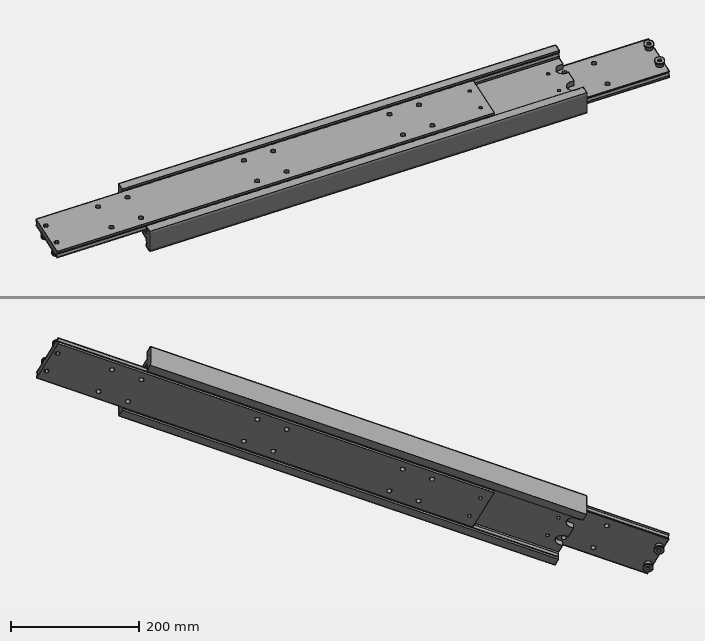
import cadquery as cq

rail_length = 750.0
extension = 150.0
rail_width = 120.0
rail_height = 44.0

bevel_width = 1.0
bevel_height = 4.0

plate_width = 80.0
plate_thickness = 14.0

flange_thickness = 15.0
web_clearance = 3.0
web_thickness = rail_height - 2 * (plate_thickness + web_clearance)

groove_depth = 2.0
groove_half_height = 4.0
groove_from_outer_face = 8.0
groove_height = rail_height / 2 - groove_from_outer_face

mount_diameter = 7.9
mount_x = 25.0
mount_from_end = (100.0, 150.0, 350.0, 400.0)

stop_x = 20.5
stop_from_end = 7.9
stop_height = 10.0
neck_radius = 6.0
rim_radius = 7.9
rim_thickness = 2.6
socket_corner_diameter = 7.9
dimple_radius = 3.0
dimple_depth = 4.0
notch_radius = 10.0
notch_from_end = 6.0
small_hole_diameter = 5.0
plate_small_hole_from_end = 15.0
web_small_hole_from_end = 30.0


def bar(width, height, z_middle):
    """Rectangular bar as long as the rail, centred on X = Y = 0."""
    return cq.Workplane("XY").box(width, rail_length, height).translate((0, 0, z_middle))


def groove(x_face, direction, z):
    """V-shaped cutter along Y, entering a side face at x_face toward direction (+1 or -1)."""
    return (
        cq.Workplane("XZ", origin=(0, rail_length / 2, 0))
        .moveTo(x_face, z - groove_half_height)
        .lineTo(x_face + direction * groove_depth, z)
        .lineTo(x_face, z + groove_half_height)
        .close()
        .extrude(rail_length)
    )


def make_flange(side):
    """Flange on the +X (side = 1) or -X (side = -1) edge, bevelled along its two outer edges."""
    outer_x = rail_width / 2
    inner_x = outer_x - flange_thickness
    top = rail_height / 2
    outline = [
        (inner_x, -top),
        (outer_x - bevel_width, -top),
        (outer_x, -top + bevel_height),
        (outer_x, top - bevel_height),
        (outer_x - bevel_width, top),
        (inner_x, top),
    ]
    profile = cq.Workplane("XZ", origin=(0, rail_length / 2, 0))
    return profile.polyline([(side * x, z) for x, z in outline]).close().extrude(rail_length)


def cylinder(x, y, z_bottom, radius, height):
    """Upright cylinder standing on z_bottom."""
    return cq.Workplane("XY", origin=(x, y, z_bottom)).circle(radius).extrude(height)


def make_middle_rail():
    """H-section with four ball grooves, buffer notches and fixing holes at both ends."""
    rail = bar(rail_width - 2 * flange_thickness, web_thickness, 0)
    inner_face_x = rail_width / 2 - flange_thickness
    for side in (-1, 1):
        flange = make_flange(side)
        rail = rail.union(flange)
        for z in (-groove_height, groove_height):
            rail = rail.cut(groove(side * inner_face_x, side, z))

    web_bottom = -web_thickness / 2
    small_radius = small_hole_diameter / 2
    for end in (-1, 1):
        notch_y = end * (rail_length / 2 - notch_from_end)
        hole_y = end * (rail_length / 2 - web_small_hole_from_end)
        for x in (-stop_x, stop_x):
            mouth = cq.Workplane("XY").box(2 * notch_radius, 2 * notch_from_end, web_thickness)
            rail = rail.cut(cylinder(x, notch_y, web_bottom, notch_radius, web_thickness))
            rail = rail.cut(mouth.translate((x, end * rail_length / 2, 0)))
            rail = rail.cut(cylinder(x, hole_y, web_bottom, small_radius, web_thickness))
    return rail


def make_upper_carriage():
    """Grooved plate in the closed position, with two stop buffers under its -Y end."""
    plate_top = rail_height / 2
    plate_bottom = plate_top - plate_thickness
    plate_end = -rail_length / 2
    carriage = bar(plate_width, plate_thickness, plate_top - plate_thickness / 2)
    for side in (-1, 1):
        carriage = carriage.cut(groove(side * plate_width / 2, -side, groove_height))

    stop_y = plate_end + stop_from_end
    stop_bottom = plate_bottom - stop_height
    for x in (-stop_x, stop_x):
        neck = cylinder(x, stop_y, stop_bottom, neck_radius, stop_height)
        rim = cylinder(x, stop_y, stop_bottom, rim_radius, rim_thickness)
        dimple = cylinder(x, stop_y, stop_bottom, dimple_radius, dimple_depth)
        carriage = carriage.union(neck.union(rim).cut(dimple))
        socket = cq.Workplane("XY", origin=(x, stop_y, plate_bottom)).polygon(6, socket_corner_diameter)
        carriage = carriage.cut(socket.extrude(plate_thickness))

    small_hole_y = -plate_end - plate_small_hole_from_end
    small_radius = small_hole_diameter / 2
    for x in (-stop_x, stop_x):
        carriage = carriage.cut(cylinder(x, small_hole_y, plate_bottom, small_radius, plate_thickness))

    for distance in mount_from_end:
        for y in (plate_end + distance, -plate_end - distance):
            for x in (-mount_x, mount_x):
                hole = cylinder(x, y, plate_bottom, mount_diameter / 2, plate_thickness)
                carriage = carriage.cut(hole)
    return carriage


middle_rail = make_middle_rail()

extended_carriage = make_upper_carriage().translate((0, -extension, 0))
carriages = []
for turn in (0, 180):
    carriages.append(extended_carriage.rotate((0, 0, 0), (1, 0, 0), turn))

result = cq.Compound.makeCompound([middle_rail.val(), *[carriage.val() for carriage in carriages]])